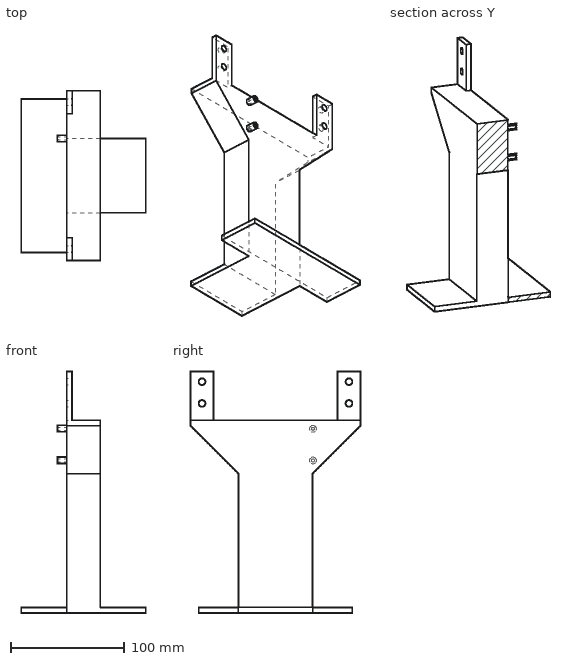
import cadquery as cq

height = 213.0
head_width = 150.0
plate_thickness = 5.0

foot_length = 110.0
foot_width = 135.5
foot_overhang = 40.0

column_width = 65.6
column_depth = foot_length - 2 * foot_overhang
front_x = -column_depth / 2
flare_bottom_z = 123.0
shelf_z = 170.0
flare_top_z = shelf_z - plate_thickness

ear_width = 20.5
ear_hole_diameter = 5.8
ear_hole_heights = (184.7, 203.9)
ear_center_y = (head_width - ear_width) / 2

pin_diameter = 6.0
pin_bore_diameter = 2.5
pin_length = 8.0
pin_y = column_width / 2
pin_heights = (134.6, 162.5)


def make_body():
    """Solid column with sloped flanks and a flat shelf on top."""
    half_column = column_width / 2
    half_head = head_width / 2
    outline = [
        (-half_column, 0),
        (half_column, 0),
        (half_column, flare_bottom_z),
        (half_head, flare_top_z),
        (half_head, shelf_z),
        (-half_head, shelf_z),
        (-half_head, flare_top_z),
        (-half_column, flare_bottom_z),
    ]
    return cq.Workplane("YZ", origin=(front_x, 0, 0)).polyline(outline).close().extrude(column_depth)


def make_foot():
    on_corner = (False, True, False)
    front_plate = cq.Workplane("XY").box(
        foot_overhang, foot_width, plate_thickness, centered=on_corner
    ).translate((-foot_length / 2, 0, 0))
    tongue = cq.Workplane("XY").box(
        foot_length, column_width, plate_thickness, centered=on_corner
    ).translate((-foot_length / 2, 0, 0))
    return front_plate.union(tongue)


def make_ear(center_y):
    ear = cq.Workplane("XY").box(
        plate_thickness, ear_width, height - shelf_z, centered=(False, True, False)
    ).translate((front_x, center_y, shelf_z))
    holes = (
        cq.Workplane("YZ", origin=(front_x, 0, 0))
        .pushPoints([(center_y, z) for z in ear_hole_heights])
        .circle(ear_hole_diameter / 2)
        .extrude(plate_thickness)
    )
    return ear.cut(holes)


def make_pins():
    """Tubes standing out from the front face, each bored down to that face."""
    return (
        cq.Workplane("YZ", origin=(front_x, 0, 0))
        .pushPoints([(pin_y, z) for z in pin_heights])
        .circle(pin_diameter / 2)
        .circle(pin_bore_diameter / 2)
        .extrude(-pin_length)
    )


result = make_body().union(make_foot()).union(make_pins())
for side in (-1, 1):
    result = result.union(make_ear(side * ear_center_y))